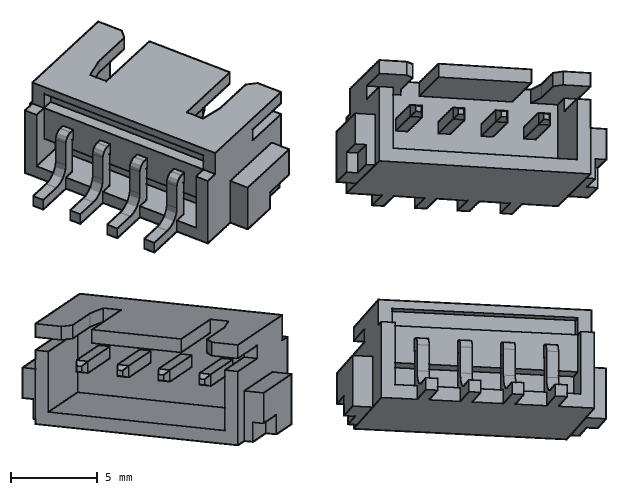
import cadquery as cq


overall_width = 14.94

housing_width = 12.55
housing_height = 6.0
roof_depth = 7.0
wall = 0.8
housing_depth = 7.8
post_height = 4.5
inner_width = housing_width - 2 * wall

window_roof = 0.5
barrier_bottom = 2.3
upper_recess_depth = 0.7
lower_recess_depth = 1.2

contact_count = 4
contact_pitch = 2.54
contact_thick = 0.7
contact_top = 3.75
outer_bend_radius = 0.5
foot_bend_radius = 1.0
foot_end = 10.2
tip_start = 1.12
tip_end = 0.6
tip_thick = 0.33
outer_contact_edge = (contact_count - 1) / 2 * contact_pitch + contact_thick / 2

key_slot_depth = 4.59
key_slot_inner = 2.76
key_slot_chamfer = 0.5
key_slot_taper_start = 3.23
key_slot_end_edge = 3.87
side_slot_depth = 3.02
side_slot_height = 0.78
cavity_top = housing_height - wall

tab_width = (overall_width - housing_width) / 2
tab_height = 3.0
tab_depth = 4.4
tab_setback = 1.0
notch_height = 1.18
notch_width = 0.65


def box(x_min, x_max, y_min, y_max, z_min, z_max):
    """Axis-aligned block between two opposite corners."""
    size = (x_max - x_min, y_max - y_min, z_max - z_min)
    return cq.Workplane("XY").box(*size, centered=False).translate((x_min, y_min, z_min))


def centered_block(width, y_min, y_max, z_min, z_max):
    """Block that is symmetric about the middle plane X = 0."""
    return box(-width / 2, width / 2, y_min, y_max, z_min, z_max)


def make_shell():
    """Stepped block: full height under the roof, lower where the front posts stand."""
    body = centered_block(housing_width, -roof_depth, 0, 0, housing_height)
    posts = centered_block(housing_width, -housing_depth, -roof_depth, 0, post_height)
    return body.union(posts)


def make_front_window():
    """Opening between the posts, with recesses above and below the barrier."""
    opening = centered_block(inner_width, -housing_depth, -roof_depth, wall, post_height)
    upper_end = -roof_depth + upper_recess_depth
    upper = centered_block(inner_width, -roof_depth, upper_end, post_height, housing_height - window_roof)
    lower_end = -roof_depth + lower_recess_depth
    lower = centered_block(inner_width, -roof_depth, lower_end, wall, barrier_bottom)
    return opening.union(upper).union(lower)


def make_mating_cavity():
    """Pocket from the mating face, with a slot through both side walls under the roof."""
    pocket = centered_block(inner_width, -key_slot_depth, 0, wall, cavity_top)
    side_slots = centered_block(housing_width, -side_slot_depth, 0, cavity_top - side_slot_height, cavity_top)
    return pocket.union(side_slots)


def make_key_slot():
    """Slot through the roof on the +X side, with a lead-in and a narrowed closed end."""
    outline = [
        (key_slot_inner, 0),
        (outer_contact_edge + key_slot_chamfer, 0),
        (outer_contact_edge, -key_slot_chamfer),
        (outer_contact_edge, -key_slot_taper_start),
        (key_slot_end_edge, -key_slot_depth),
        (key_slot_inner, -key_slot_depth),
    ]
    return cq.Workplane("XY").workplane(offset=cavity_top).polyline(outline).close().extrude(wall)


def make_contact(x_center):
    """Contact bar that runs out of the barrier, down to the board and out to a foot."""
    front = -housing_depth
    upright_back = front + contact_thick
    bar_bottom = contact_top - contact_thick
    bar = (
        cq.Workplane("YZ")
        .moveTo(-tip_start, contact_top)
        .lineTo(front + outer_bend_radius, contact_top)
        .radiusArc((front, contact_top - outer_bend_radius), -outer_bend_radius)
        .lineTo(front, contact_thick + foot_bend_radius)
        .radiusArc((front - foot_bend_radius, contact_thick), foot_bend_radius)
        .lineTo(-foot_end, contact_thick)
        .lineTo(-foot_end, 0)
        .lineTo(upright_back, 0)
        .lineTo(upright_back, bar_bottom)
        .lineTo(-tip_start, bar_bottom)
        .close()
        .extrude(contact_thick / 2, both=True)
    )
    tip = (
        cq.Workplane("XZ", origin=(0, -tip_start, contact_top - contact_thick / 2))
        .rect(contact_thick, contact_thick)
        .workplane(offset=tip_end - tip_start)
        .rect(tip_thick, tip_thick)
        .loft(ruled=True)
    )
    return bar.union(tip).translate((x_center, 0, 0))


def make_housing():
    """Moulded housing together with its row of contacts."""
    body = make_shell().cut(make_front_window()).cut(make_mating_cavity())
    key_slot = make_key_slot()
    body = body.cut(key_slot).cut(key_slot.mirror("YZ"))
    for index in range(contact_count):
        x_center = (index - (contact_count - 1) / 2) * contact_pitch
        body = body.union(make_contact(x_center))
    return body


def make_tab(side):
    """Mounting tab against a side wall (side = -1 or +1), notched at its outer lower rear."""
    inner = housing_width / 2
    outer = inner + tab_width
    tab = box(inner, outer, -tab_setback - tab_depth, -tab_setback, 0, tab_height)
    notch = box(outer - notch_width, outer, -side_slot_depth, -tab_setback, 0, notch_height)
    tab = tab.cut(notch)
    return tab if side > 0 else tab.mirror("YZ")


housing = make_housing()
tabs = [make_tab(side) for side in (-1, 1)]

result = cq.Compound.makeCompound([housing.val(), *[tab.val() for tab in tabs]])